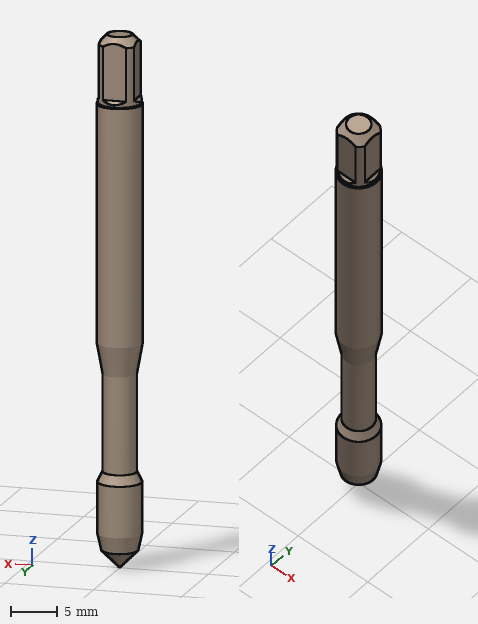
import cadquery as cq

total_length = 59.7
shank_diameter = 5.0
neck_diameter = 3.75

tip_base_diameter = 4.05
tip_height = tip_base_diameter / 2
lead_top = 3.9
head_diameter = 4.9
head_top = 9.7
neck_bottom = 10.8

neck_top = 21.75
shank_bottom = 25.2
shank_top = 52.05

drive_diameter = 4.8
drive_across_flats = 4.0
flat_bottom = 52.7
end_face_diameter = 2.75
end_chamfer = (drive_diameter - end_face_diameter) / 2
shoulder_chamfer = (shank_diameter - drive_diameter) / 2


def revolve_profile(points):
    """Turn a closed (radius, height) outline about the Z axis."""
    return cq.Workplane("XZ").polyline(points).close().revolve(360, (0, 0, 0), (0, 1, 0))


def make_cutting_head():
    """Pointed head with a tapered lead and a chamfered rear end."""
    return revolve_profile([
        (0, 0),
        (tip_base_diameter / 2, tip_height),
        (head_diameter / 2, lead_top),
        (head_diameter / 2, head_top),
        (neck_diameter / 2, neck_bottom),
        (0, neck_bottom),
    ])


def make_flat_cutter():
    """Material removed beside one drive flat, with a 45 degree run-out below it."""
    flat_distance = drive_across_flats / 2
    outer_distance = shank_diameter
    run_out = outer_distance - flat_distance
    return (
        cq.Workplane("XZ")
        .polyline([
            (flat_distance, flat_bottom),
            (outer_distance, flat_bottom - run_out),
            (outer_distance, total_length),
            (flat_distance, total_length),
        ])
        .close()
        .extrude(shank_diameter, both=True)
    )


def make_shank():
    """Neck, tapered transition, round shank and square drive end."""
    shank_radius = shank_diameter / 2
    drive_radius = drive_diameter / 2
    shank = revolve_profile([
        (0, neck_bottom),
        (neck_diameter / 2, neck_bottom),
        (neck_diameter / 2, neck_top),
        (shank_radius, shank_bottom),
        (shank_radius, shank_top - shoulder_chamfer),
        (drive_radius, shank_top),
        (drive_radius, total_length - end_chamfer),
        (end_face_diameter / 2, total_length),
        (0, total_length),
    ])
    cutter = make_flat_cutter()
    for angle in (0, 90, 180, 270):
        shank = shank.cut(cutter.rotate((0, 0, 0), (0, 0, 1), angle))
    return shank


cutting_head = make_cutting_head()
shank = make_shank()
result = cq.Compound.makeCompound([cutting_head.val(), shank.val()])